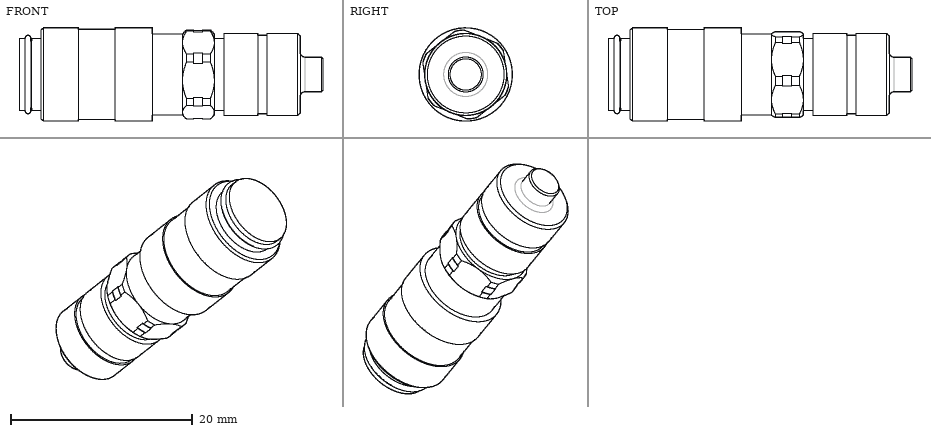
import cadquery as cq
import math

RING_GROOVE_START_X = 0.65
SLEEVE_START_X = 2.38
SLEEVE_BAND_START_X = 6.5
SLEEVE_BAND_END_X = 10.57
SLEEVE_END_X = 14.7
HEX_START_X = 18.0
CORNER_GROOVE_CENTRE_X = 19.73
HEX_END_X = 21.55
REAR_START_X = 22.58
REAR_GROOVE_START_X = 26.35
REAR_GROOVE_END_X = 27.35
REAR_END_X = 31.05
TOTAL_LENGTH = 33.55

FRONT_DIAMETER = 8.0
RING_GROOVE_DIAMETER = 7.4
RING_GROOVE_WIDTH = 0.7
SHANK_DIAMETER = 9.0
NECK_DIAMETER = 8.0
REAR_DIAMETER = 9.1
REAR_GROOVE_DIAMETER = 8.7
REAR_CHAMFER = 0.3
STEM_DIAMETER = 3.85
STEM_FILLET = 0.5
STEM_CHAMFER = 0.2

HEX_ACROSS_FLATS = 9.0
HEX_CORNER_DIAMETER = 9.85
HEX_CHAMFER = (HEX_CORNER_DIAMETER - HEX_ACROSS_FLATS) / 2
HEX_CORNER_ANGLE = 21.7
CORNER_GROOVE_WIDTH = 1.0
CORNER_GROOVE_DIAMETER = 9.75

SLEEVE_DIAMETER = 10.35
SLEEVE_BAND_DIAMETER = 10.0
SLEEVE_CHAMFER_LENGTH = 0.3
SLEEVE_CHAMFER_DEPTH = 0.25

RING_DIAMETER = 8.7
RING_WIRE_DIAMETER = (RING_DIAMETER - RING_GROOVE_DIAMETER) / 2
RING_CENTRE_X = RING_GROOVE_START_X + RING_WIRE_DIAMETER / 2


def cylinder(start_x, end_x, diameter):
    """Solid cylinder about the X axis between two stations."""
    return cq.Workplane("YZ", origin=(start_x, 0, 0)).circle(diameter / 2).extrude(end_x - start_x)


def tube(start_x, end_x, outer_diameter, inner_diameter):
    """Hollow cylinder about the X axis between two stations."""
    return cylinder(start_x, end_x, outer_diameter).cut(cylinder(start_x, end_x, inner_diameter))


def make_hexagon():
    """Hexagon with turned corners, chamfered ends and a shallow groove around the corners."""
    length = HEX_END_X - HEX_START_X
    circumscribed_diameter = HEX_ACROSS_FLATS / math.cos(math.radians(30))
    prism = (
        cq.Workplane("YZ", origin=(HEX_START_X, 0, 0))
        .polygon(6, circumscribed_diameter)
        .extrude(length)
        .rotate((0, 0, 0), (1, 0, 0), -HEX_CORNER_ANGLE)
    )
    turned_blank = cylinder(HEX_START_X, HEX_END_X, HEX_CORNER_DIAMETER).edges().chamfer(HEX_CHAMFER)
    corner_groove = tube(
        CORNER_GROOVE_CENTRE_X - CORNER_GROOVE_WIDTH / 2,
        CORNER_GROOVE_CENTRE_X + CORNER_GROOVE_WIDTH / 2,
        circumscribed_diameter,
        CORNER_GROOVE_DIAMETER,
    )
    return prism.intersect(turned_blank).cut(corner_groove)


def make_rear():
    """Grooved rear barrel with a chamfered end and a stem rising from it on a fillet."""
    barrel = cylinder(REAR_START_X, REAR_END_X, REAR_DIAMETER).faces(">X").edges().chamfer(REAR_CHAMFER)
    groove = tube(REAR_GROOVE_START_X, REAR_GROOVE_END_X, REAR_DIAMETER, REAR_GROOVE_DIAMETER)
    stem = cylinder(REAR_END_X, TOTAL_LENGTH, STEM_DIAMETER).faces(">X").edges().chamfer(STEM_CHAMFER)
    stem_root = cq.selectors.BoxSelector(
        (REAR_END_X - STEM_FILLET / 2, -STEM_DIAMETER, -STEM_DIAMETER),
        (REAR_END_X + STEM_FILLET / 2, STEM_DIAMETER, STEM_DIAMETER),
        boundingbox=True,
    )
    return barrel.cut(groove).union(stem).edges(stem_root).fillet(STEM_FILLET)


def make_core():
    """Turned core that carries the ring groove, the hexagon and the rear barrel."""
    front = cylinder(0, SLEEVE_END_X, FRONT_DIAMETER)
    ring_groove = tube(
        RING_GROOVE_START_X,
        RING_GROOVE_START_X + RING_GROOVE_WIDTH,
        FRONT_DIAMETER,
        RING_GROOVE_DIAMETER,
    )
    shank = cylinder(SLEEVE_END_X, HEX_START_X, SHANK_DIAMETER)
    neck = cylinder(HEX_END_X, REAR_START_X, NECK_DIAMETER)
    return front.cut(ring_groove).union(shank).union(make_hexagon()).union(neck).union(make_rear())


def make_sleeve():
    """Sleeve around the front of the core, with a sunken band and a chamfered front rim."""
    sleeve = tube(SLEEVE_START_X, SLEEVE_END_X, SLEEVE_DIAMETER, FRONT_DIAMETER)
    band = tube(SLEEVE_BAND_START_X, SLEEVE_BAND_END_X, SLEEVE_DIAMETER, SLEEVE_BAND_DIAMETER)
    front_bevel = (
        cq.Workplane("XY")
        .moveTo(SLEEVE_START_X, SLEEVE_DIAMETER / 2)
        .lineTo(SLEEVE_START_X, SLEEVE_DIAMETER / 2 - SLEEVE_CHAMFER_DEPTH)
        .lineTo(SLEEVE_START_X + SLEEVE_CHAMFER_LENGTH, SLEEVE_DIAMETER / 2)
        .close()
        .revolve(360, (0, 0, 0), (1, 0, 0))
    )
    return sleeve.cut(band).cut(front_bevel)


def make_retaining_ring():
    """Round-wire ring seated on the floor of the ring groove."""
    wire_centre_radius = (RING_DIAMETER - RING_WIRE_DIAMETER) / 2
    return (
        cq.Workplane("XY")
        .center(RING_CENTRE_X, wire_centre_radius)
        .circle(RING_WIRE_DIAMETER / 2)
        .revolve(360, (0, -wire_centre_radius, 0), (1, -wire_centre_radius, 0))
    )


core = make_core()
sleeve = make_sleeve()
retaining_ring = make_retaining_ring()

result = cq.Compound.makeCompound([core.val(), sleeve.val(), retaining_ring.val()])